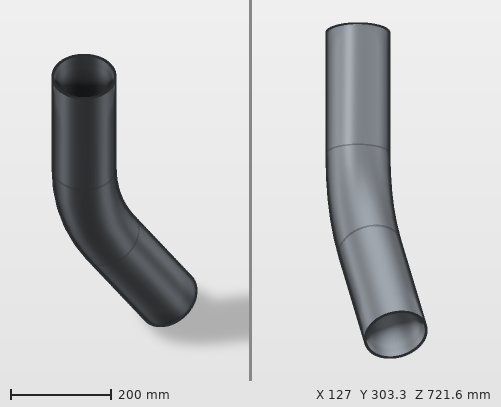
import cadquery as cq
import math

outer_diameter = 127.0
wall_thickness = 2.11
inner_diameter = outer_diameter - 2 * wall_thickness
leg_length = 254.0
bend_radius = 431.8
bend_angle = 30.0


def bend_point(angle):
    """Centreline point (Y, Z) at an angle in degrees from the start of the bend."""
    turn = math.radians(angle)
    return bend_radius * (1 - math.cos(turn)), -bend_radius * math.sin(turn)


def tube_centreline():
    """Down the vertical leg, round the bend towards +Y, then along the inclined leg."""
    bend_end = bend_point(bend_angle)
    slope = math.radians(bend_angle)
    lower_end = (
        bend_end[0] + leg_length * math.sin(slope),
        bend_end[1] - leg_length * math.cos(slope),
    )
    return (
        cq.Workplane("YZ")
        .moveTo(0, leg_length)
        .lineTo(0, 0)
        .threePointArc(bend_point(bend_angle / 2), bend_end)
        .lineTo(*lower_end)
    )


def swept_tube():
    """Ring section on the top end, swept along the centreline."""
    return (
        cq.Workplane("XY", origin=(0, 0, leg_length))
        .circle(outer_diameter / 2)
        .circle(inner_diameter / 2)
        .sweep(tube_centreline())
    )


result = swept_tube()